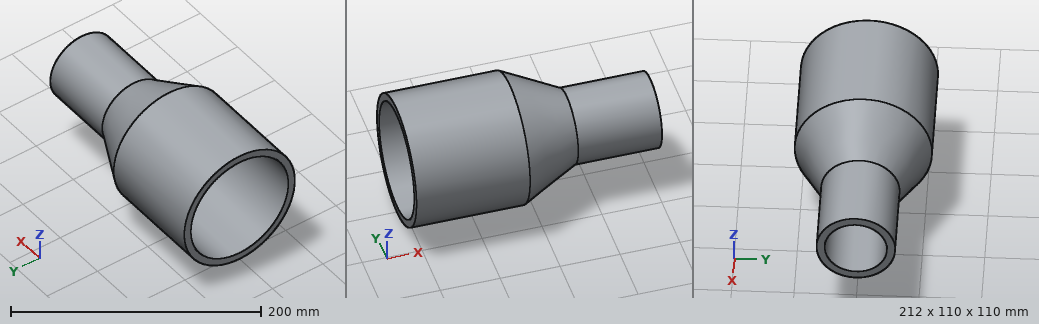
import cadquery as cq

total_length = 212.0
large_end_length = 94.8
small_end_length = 70.0

large_outer_diameter = 110.0
large_bore_diameter = 96.9
small_outer_diameter = 63.0
small_bore_diameter = 49.8

cone_end = total_length - small_end_length


def reducer_body(large_diameter, small_diameter):
    """Solid of revolution about X: large cylinder, cone, small cylinder."""
    large_radius = large_diameter / 2
    small_radius = small_diameter / 2
    return (
        cq.Workplane("XY")
        .moveTo(0, 0)
        .lineTo(0, large_radius)
        .lineTo(large_end_length, large_radius)
        .lineTo(cone_end, small_radius)
        .lineTo(total_length, small_radius)
        .lineTo(total_length, 0)
        .close()
        .revolve(360, (0, 0, 0), (1, 0, 0))
    )


outside = reducer_body(large_outer_diameter, small_outer_diameter)
bore = reducer_body(large_bore_diameter, small_bore_diameter)
result = outside.cut(bore)